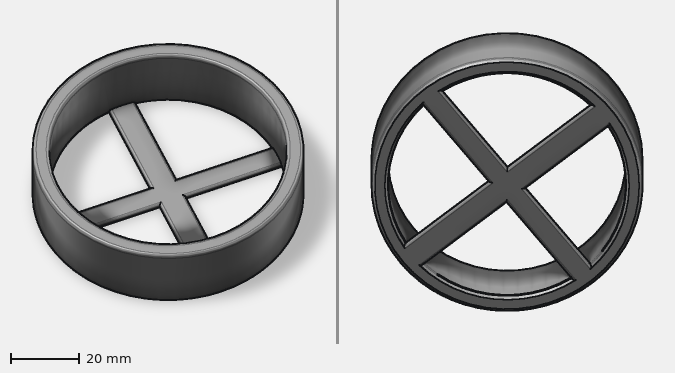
import cadquery as cq

outer_diameter = 79.5
inner_diameter = 69.5
height = 22.0
rim_radius = 1.0
foot_chamfer = 1.0
foot_blend_radius = 0.6

x_bar_width = 8.3
y_bar_width = 7.0
bar_thickness = 2.0
bar_edge_radius = 0.8
bar_length = (outer_diameter + inner_diameter) / 2


def make_ring():
    """Ring with a rounded rim and softened chamfers round its foot."""
    ring = cq.Workplane("XY").circle(outer_diameter / 2).circle(inner_diameter / 2).extrude(height)
    ring = ring.faces("<Z").edges().chamfer(foot_chamfer)
    wall_feet = ring.faces("%CYLINDER").edges("%CIRCLE").edges("<Z")
    ring = wall_feet.fillet(foot_blend_radius)
    return ring.faces(">Z").edges().fillet(rim_radius)


def make_cross():
    """Two flat bars crossing at the ring axis, with rounded upper and lower edges."""
    x_bar = cq.Workplane("XY").box(bar_length, x_bar_width, bar_thickness, centered=(True, True, False))
    y_bar = cq.Workplane("XY").box(y_bar_width, bar_length, bar_thickness, centered=(True, True, False))
    return x_bar.union(y_bar).faces("<Z or >Z").edges().fillet(bar_edge_radius)


result = make_ring().union(make_cross())